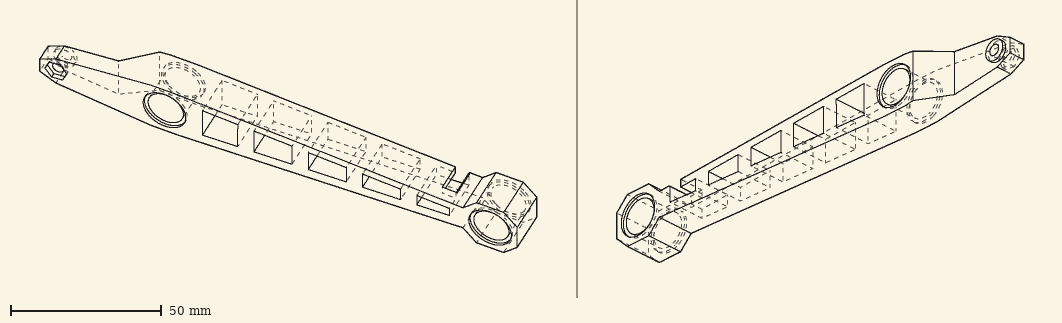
import cadquery as cq
width = 15.0
tilt = -0.1235

tip_bore_x = -40.0
end_bore_x = 120.0
half_height = 10.0
main_flat_half = 5.0

tip_reach = 6.0
tip_face_half_height = 3.0
tip_shoulder_half_height = 6.0

eye_chamfer = 5.0

bore_diameter = 13.0
bore_rim_diameter = 15.7
bore_rim_depth = 1.0

tip_thickness = 6.5
ramp_start_x = -20.0
ramp_end_x = -9.0
tip_hole_diameter = 4.1
tip_boss_diameter = 8.0
tip_boss_height = 1.4
nut_corner_diameter = 8.15
nut_turn = 7.0
nut_depth = 1.7

first_window_x = 14.0
last_window_x = 105.0
rib_centres = (30.0, 50.0, 70.0, 90.0)
rib_thickness = 6.0
upper_rail_thickness = 3.0
lower_rail_thickness = 4.0

slot_start_x = 100.0
slot_end_x = last_window_x
slot_bevel_width = 0.5
slot_bevel_drop = 0.3
slot_front_y = 5.0

eye_start_x = end_bore_x - half_height
eye_end_x = end_bore_x + half_height
eye_flat_half = half_height - eye_chamfer
taper = (half_height - eye_flat_half) / (eye_start_x - main_flat_half)


def arm_half_height(x):
    """Half height of the tapered beam between the main bore and the end eye."""
    return half_height - taper * (x - main_flat_half)


def extrude_back(sketch, start_y, end_y):
    """Extrude a sketch drawn on the XZ plane from start_y to end_y along +Y."""
    return sketch.extrude(-(end_y - start_y)).translate((0, start_y, 0))


def disc(x, diameter, start_y, end_y):
    sketch = cq.Workplane("XZ").center(x, 0).circle(diameter / 2)
    return extrude_back(sketch, start_y, end_y)


def make_body():
    upper = [
        (tip_bore_x - tip_reach, tip_face_half_height),
        (tip_bore_x, tip_shoulder_half_height),
        (-main_flat_half, half_height),
        (main_flat_half, half_height),
        (eye_start_x, eye_flat_half),
        (end_bore_x - eye_flat_half, half_height),
        (end_bore_x + eye_flat_half, half_height),
        (eye_end_x, eye_flat_half),
    ]
    lower = [(x, -z) for x, z in reversed(upper)]
    return extrude_back(cq.Workplane("XZ").polyline(upper + lower).close(), 0, width)


def make_tip_relief():
    """Material removed behind the thin tip, ending in a sloped ramp."""
    relief_start_x = tip_bore_x - 2 * tip_reach
    return (
        cq.Workplane("XY")
        .polyline([
            (relief_start_x, tip_thickness),
            (ramp_start_x, tip_thickness),
            (ramp_end_x, width),
            (relief_start_x, width),
        ])
        .close()
        .extrude(half_height, both=True)
    )


def make_nut_pocket():
    """Hexagonal pocket in the front face around the tip hole."""
    sketch = (
        cq.Workplane("XZ")
        .center(tip_bore_x, 0)
        .transformed(rotate=(0, 0, nut_turn))
        .polygon(6, nut_corner_diameter)
    )
    return extrude_back(sketch, 0, nut_depth)


def make_main_bore(x):
    """Through bore with a shallow wider rim at both faces."""
    bore = disc(x, bore_diameter, 0, width)
    front_rim = disc(x, bore_rim_diameter, 0, bore_rim_depth)
    back_rim = disc(x, bore_rim_diameter, width - bore_rim_depth, width)
    return bore.union(front_rim).union(back_rim)


def make_window(left, right):
    """Through window whose upper and lower edges follow the beam taper."""
    corners = [
        (left, lower_rail_thickness - arm_half_height(left)),
        (right, lower_rail_thickness - arm_half_height(right)),
        (right, arm_half_height(right) - upper_rail_thickness),
        (left, arm_half_height(left) - upper_rail_thickness),
    ]
    return extrude_back(cq.Workplane("XZ").polyline(corners).close(), 0, width)


def make_slot():
    """Slot from the upper surface down into the last window, open at the back.

    Its wall nearest the end eye is flush with the window, with a shallow bevel at the top.
    """
    rim_z = arm_half_height(slot_end_x + slot_bevel_width)
    profile = [
        (slot_start_x, 0),
        (slot_end_x, 0),
        (slot_end_x, rim_z - slot_bevel_drop),
        (slot_end_x + slot_bevel_width, rim_z),
        (slot_end_x + slot_bevel_width, half_height),
        (slot_start_x, half_height),
    ]
    return extrude_back(cq.Workplane("XZ").polyline(profile).close(), slot_front_y, width)


boss_top_y = tip_thickness + tip_boss_height
arm = make_body().cut(make_tip_relief())
arm = arm.union(disc(tip_bore_x, tip_boss_diameter, tip_thickness, boss_top_y))
arm = arm.cut(disc(tip_bore_x, tip_hole_diameter, 0, boss_top_y))
arm = arm.cut(make_nut_pocket())

for bore_x in (0.0, end_bore_x):
    arm = arm.cut(make_main_bore(bore_x))

window_starts = [first_window_x] + [x + rib_thickness / 2 for x in rib_centres]
window_ends = [x - rib_thickness / 2 for x in rib_centres] + [last_window_x]
for window_start, window_end in zip(window_starts, window_ends):
    arm = arm.cut(make_window(window_start, window_end))

arm = arm.cut(make_slot())

result = arm.rotate((0, 0, 0), (0, 1, 0), -tilt)